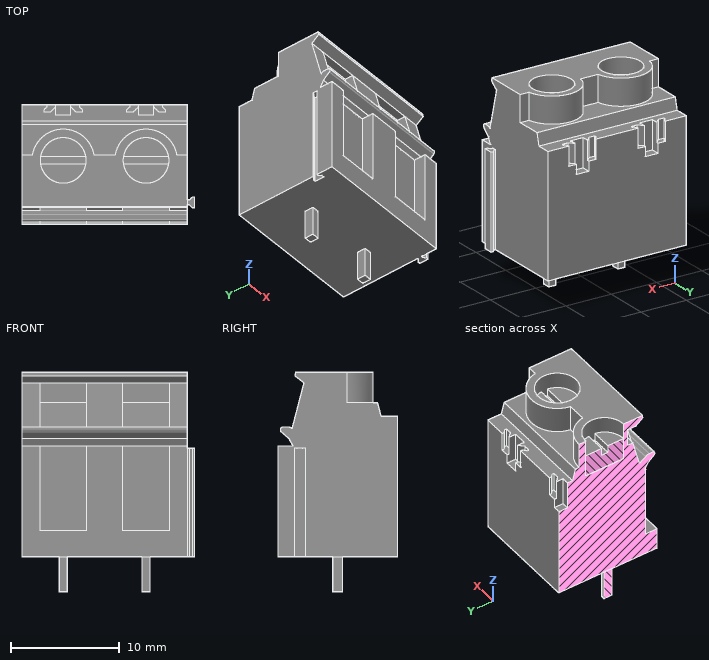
import cadquery as cq


POLES = 2
PITCH = 7.62
POLE_CENTRES = [(i - (POLES - 1) / 2) * PITCH for i in range(POLES)]

WIDTH = POLES * PITCH
DEPTH = 11.0
PIN_LENGTH = 3.21
OVERALL_HEIGHT = 20.2
HEIGHT = OVERALL_HEIGHT - PIN_LENGTH
LEFT_FACE = -WIDTH / 2
RIGHT_FACE = WIDTH / 2

BLOCK_TOP = 10.2
BLOCK_LEDGE = 1.37

LIP_NECK_Y = 1.0
LIP_NECK_Z = 10.87
LIP_TOP = 11.95
NOSE_RADIUS = 0.25
NOSE_CENTRE_Y = 0.46
NOSE_CENTRE_Z = LIP_TOP - NOSE_RADIUS
NOSE_END_Y = 0.3
NOSE_END_Z = 11.5
LIP_FLAT_END_Y = 0.89
LIP_ROUND_MIDDLE = (1.11, 11.92)
SLOPE_FOOT_Y = 1.3
SLOPE_FOOT_Z = 11.8

SLOPE_HEAD_Y = 2.38
SLOPE_HEAD_Z = 16.0
SLOPE_RUN = (SLOPE_HEAD_Y - SLOPE_FOOT_Y) / (SLOPE_HEAD_Z - SLOPE_FOOT_Z)
BROW_TIP_Y = 1.55
BROW_TIP_Z = 16.65
BROW_TOP_Y = 1.64

TOWER_BACK = DEPTH - 4.65
SHOULDER_Z = 14.18
SHOULDER_BACK = DEPTH - 1.84
REAR_STEP_Y = DEPTH - 1.52
REAR_STEP_Z = 12.95

SCREW_Y = DEPTH - 5.13
COLLAR_DIAMETER = 5.75
SCREW_DIAMETER = 4.2
SCREW_RECESS = 1.75
SCREW_HEIGHT = 2.42
SCREW_TOP = HEIGHT - SCREW_RECESS
SCREW_BOTTOM = SCREW_TOP - SCREW_HEIGHT
DRIVER_SLOT_WIDTH = 0.69
DRIVER_SLOT_DEPTH = 0.8

RECESS_WIDTH = 4.3
POCKET_FLOOR = 2.4
POCKET_DEPTH = 1.25
WINDOW_DEPTH = 0.79
WINDOW_LEDGE_Z = 14.18
WINDOW_LEDGE_DEPTH = 0.57
WINDOW_SILL_DROP = 0.7

DOVETAIL_Y = 2.02
DOVETAIL_HEIGHT = 10.0
DOVETAIL_REACH = 0.67
DOVETAIL_NECK_LENGTH = 0.18
DOVETAIL_FLARE_END = 0.45
DOVETAIL_NECK_HALF = 0.25
DOVETAIL_TIP_HALF = 0.5

FORK_MOUTH_HALF = 1.5
FORK_MOUTH_DEPTH = 0.2
FORK_OUTER_HALF = 1.78
FORK_FLARE_DEPTH = 0.48
FORK_DEPTH = 0.69
FORK_INNER_HALF = 1.17
FORK_DROP = 2.02
SQUARE_HALF = 0.69
SQUARE_DEPTH = 0.95
SQUARE_DROP = 3.03

PIN_WIDTH = 0.77
PIN_THICKNESS = 0.9
PIN_Y = DEPTH - 5.51


def slope_y(z):
    """Y of the sloping front at height z."""
    return SLOPE_FOOT_Y + SLOPE_RUN * (z - SLOPE_FOOT_Z)


def side_sketch(left_x):
    """Workplane at X = left_x whose local axes are Y and Z."""
    return cq.Workplane("YZ", origin=(left_x, 0, 0))


def housing_blank():
    """Side outline of the housing swept over its full width."""
    return (
        side_sketch(LEFT_FACE)
        .moveTo(0, 0)
        .lineTo(0, BLOCK_TOP)
        .lineTo(BLOCK_LEDGE, BLOCK_TOP)
        .lineTo(LIP_NECK_Y, LIP_NECK_Z)
        .lineTo(NOSE_END_Y, NOSE_END_Z)
        .threePointArc((NOSE_CENTRE_Y - NOSE_RADIUS, NOSE_CENTRE_Z), (NOSE_CENTRE_Y, LIP_TOP))
        .lineTo(LIP_FLAT_END_Y, LIP_TOP)
        .threePointArc(LIP_ROUND_MIDDLE, (SLOPE_FOOT_Y, SLOPE_FOOT_Z))
        .lineTo(SLOPE_HEAD_Y, SLOPE_HEAD_Z)
        .lineTo(BROW_TIP_Y, BROW_TIP_Z)
        .lineTo(BROW_TOP_Y, HEIGHT)
        .lineTo(TOWER_BACK, HEIGHT)
        .lineTo(TOWER_BACK, SHOULDER_Z)
        .lineTo(SHOULDER_BACK, SHOULDER_Z)
        .lineTo(REAR_STEP_Y, REAR_STEP_Z)
        .lineTo(DEPTH, REAR_STEP_Z)
        .lineTo(DEPTH, 0)
        .close()
        .extrude(WIDTH)
    )


def upright_cylinder(centre_x, diameter, bottom, top):
    """Cylinder on a screw axis between two heights."""
    base = cq.Workplane("XY", origin=(centre_x, SCREW_Y, bottom))
    return base.circle(diameter / 2).extrude(top - bottom)


def lower_pocket(centre_x):
    """Wire entry pocket in the front block, open at the top of the block."""
    size = (RECESS_WIDTH, POCKET_DEPTH, BLOCK_TOP - POCKET_FLOOR)
    corner = (centre_x - RECESS_WIDTH / 2, 0, POCKET_FLOOR)
    return cq.Workplane("XY").box(*size, centered=False).translate(corner)


def upper_window(centre_x):
    """Recess in the sloping front with an inward falling sill and a deeper upper part."""
    ledge_front = slope_y(WINDOW_LEDGE_Z) + WINDOW_DEPTH
    ledge_back = ledge_front + WINDOW_LEDGE_DEPTH
    sill_depth = WINDOW_DEPTH / (1 + WINDOW_SILL_DROP * SLOPE_RUN)
    return (
        side_sketch(centre_x - RECESS_WIDTH / 2)
        .moveTo(SLOPE_FOOT_Y, SLOPE_FOOT_Z)
        .lineTo(SLOPE_HEAD_Y, SLOPE_HEAD_Z)
        .lineTo(ledge_back, SLOPE_HEAD_Z)
        .lineTo(ledge_back, WINDOW_LEDGE_Z)
        .lineTo(ledge_front, WINDOW_LEDGE_Z)
        .lineTo(SLOPE_FOOT_Y + sill_depth, SLOPE_FOOT_Z - WINDOW_SILL_DROP * sill_depth)
        .close()
        .extrude(RECESS_WIDTH)
    )


def dovetail(face_x):
    """Upright dovetail bar that starts at X = face_x and widens toward +X."""
    half_outline = [
        (0, DOVETAIL_NECK_HALF),
        (DOVETAIL_NECK_LENGTH, DOVETAIL_NECK_HALF),
        (DOVETAIL_FLARE_END, DOVETAIL_TIP_HALF),
        (DOVETAIL_REACH, DOVETAIL_TIP_HALF),
    ]
    mirrored = [(x, -y) for x, y in reversed(half_outline)]
    base = cq.Workplane("XY", origin=(face_x, DOVETAIL_Y, 0))
    return base.polyline(half_outline + mirrored).close().extrude(DOVETAIL_HEIGHT)


def forked_slot(centre_x):
    """Slot in the back that splits into two branches leaning outward."""
    half_outline = [
        (FORK_MOUTH_HALF, 0),
        (FORK_MOUTH_HALF, -FORK_MOUTH_DEPTH),
        (FORK_OUTER_HALF, -FORK_FLARE_DEPTH),
        (FORK_OUTER_HALF, -FORK_DEPTH),
        (FORK_INNER_HALF, -FORK_DEPTH),
        (SQUARE_HALF, -FORK_MOUTH_DEPTH),
    ]
    mirrored = [(-x, y) for x, y in reversed(half_outline)]
    base = cq.Workplane("XY", origin=(centre_x, DEPTH, REAR_STEP_Z))
    return base.polyline(half_outline + mirrored).close().extrude(-FORK_DROP)


def square_pocket(centre_x):
    """Deeper pocket in the middle of the forked slot."""
    size = (2 * SQUARE_HALF, SQUARE_DEPTH, SQUARE_DROP)
    corner = (centre_x - SQUARE_HALF, DEPTH - SQUARE_DEPTH, REAR_STEP_Z - SQUARE_DROP)
    return cq.Workplane("XY").box(*size, centered=False).translate(corner)


def make_housing():
    """Insulating housing with collars, bores, recesses, dovetails and back slots."""
    housing = housing_blank().union(dovetail(RIGHT_FACE)).cut(dovetail(LEFT_FACE))
    for x in POLE_CENTRES:
        housing = housing.union(upright_cylinder(x, COLLAR_DIAMETER, SHOULDER_Z, HEIGHT))
    for x in POLE_CENTRES:
        housing = housing.cut(upright_cylinder(x, SCREW_DIAMETER, SCREW_BOTTOM, HEIGHT))
        housing = housing.cut(lower_pocket(x)).cut(upper_window(x))
        housing = housing.cut(forked_slot(x)).cut(square_pocket(x))
    return housing


def make_screw(centre_x):
    """Slotted screw that fills the lower part of its bore."""
    driver_slot = (
        cq.Workplane("XY", origin=(centre_x, SCREW_Y, SCREW_TOP))
        .rect(SCREW_DIAMETER, DRIVER_SLOT_WIDTH)
        .extrude(-DRIVER_SLOT_DEPTH)
    )
    return upright_cylinder(centre_x, SCREW_DIAMETER, SCREW_BOTTOM, SCREW_TOP).cut(driver_slot)


def make_pin(centre_x):
    """Rectangular solder pin standing below the underside of the housing."""
    return (
        cq.Workplane("XY", origin=(centre_x, PIN_Y, 0))
        .rect(PIN_WIDTH, PIN_THICKNESS)
        .extrude(-PIN_LENGTH)
    )


housing = make_housing()
screws = [make_screw(x) for x in POLE_CENTRES]
pins = [make_pin(x) for x in POLE_CENTRES]

result = cq.Compound.makeCompound(
    [housing.val(), *[screw.val() for screw in screws], *[pin.val() for pin in pins]]
)